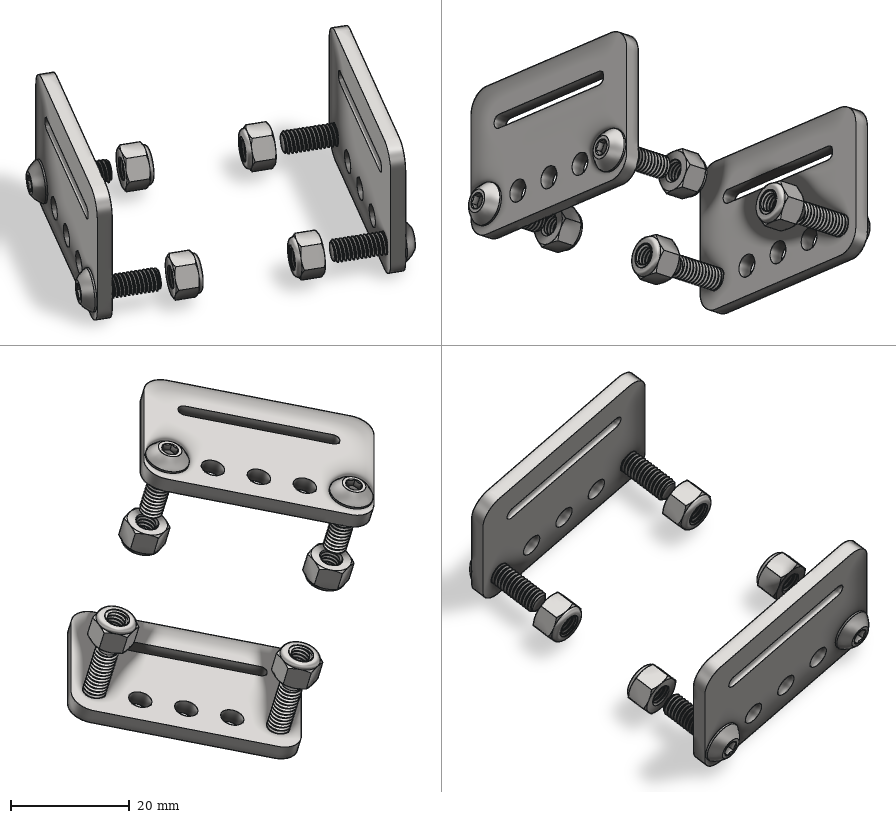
import cadquery as cq
import math

overall_depth = 58.3

plate_width = 40.0
plate_height = 26.95
plate_thickness = 2.6
corner_radius = 4.0
slot_length = 28.1
slot_width = 2.5
slot_z = 6.1
hole_pitch = 8.0
hole_count = 5
hole_row_z = -8.0

thread_diameter = 4.0
thread_pitch = 0.7
thread_depth = 0.4
crest_width = 0.1
ridge_base_width = 0.65
ridge_sink = 0.1

head_diameter = 7.6
head_height = 2.2
head_rim = 0.35
head_flat_diameter = 4.1
dome_bulge = 0.2
shank_length = 11.85
tip_chamfer = 0.4
tip_margin = 0.3
screw_thread_start = 0.0
socket_across_flats = 2.5
socket_depth = 1.35
socket_mouth_diameter = 2.9
socket_mouth_depth = 0.2

nut_across_flats = 7.0
nut_height = 4.95
hex_height = 4.15
nut_chamfer_angle = 30.0
collar_bore_diameter = 4.3
collar_bore_depth = 0.2
countersink_depth = 0.4
nut_gap = 2.05

collar_round = nut_height - hex_height
plate_outer_y = overall_depth / 2 - head_height
plate_center_y = plate_outer_y - plate_thickness / 2
nut_face_y = plate_outer_y - shank_length - nut_gap
screw_x = hole_pitch * (hole_count - 1) / 2
thread_radius = thread_diameter / 2
root_radius = thread_radius - thread_depth
nut_corner_diameter = nut_across_flats / math.cos(math.radians(30))

front, back = -1, 1
screw_places = [
    (front, -screw_x, -18.0),
    (front, screw_x, 37.0),
    (back, -screw_x, 0.0),
    (back, screw_x, 0.0),
]


def make_plate():
    """Rounded plate centred on the origin, with one slot and a row of holes."""
    plate = cq.Workplane("XZ").rect(plate_width, plate_height)
    plate = plate.extrude(plate_thickness / 2, both=True)
    plate = plate.edges("|Y").fillet(corner_radius)
    slot = cq.Workplane("XZ").center(0, slot_z).slot2D(slot_length, slot_width)
    plate = plate.cut(slot.extrude(plate_thickness, both=True))
    holes = cq.Workplane("XZ").center(0, hole_row_z)
    holes = holes.rarray(hole_pitch, 0.6, hole_count, 1).circle(thread_radius)
    return plate.cut(holes.extrude(plate_thickness, both=True))


def make_threaded_rod(length):
    """Core rod and right-handed thread ridge, both reaching past Z = 0 and Z = length."""
    core = cq.Workplane("XY", origin=(0, 0, -2 * thread_pitch)).circle(root_radius)
    core = core.extrude(length + 4 * thread_pitch)
    helix = cq.Wire.makeHelix(thread_pitch, length + 2 * thread_pitch, thread_radius)
    base_radius = root_radius - ridge_sink
    section = (
        cq.Workplane("XZ")
        .moveTo(base_radius, -ridge_base_width / 2)
        .lineTo(thread_radius, -crest_width / 2)
        .lineTo(thread_radius, crest_width / 2)
        .lineTo(base_radius, ridge_base_width / 2)
        .close()
    )
    ridge = section.sweep(cq.Workplane(helix), isFrenet=True).translate((0, 0, -thread_pitch))
    return core.union(ridge)


def make_socket():
    """Hexagonal key socket with a conical mouth, sunk into the head top."""
    corner_diameter = socket_across_flats / math.cos(math.radians(30))
    hexagon = cq.Workplane("XY", origin=(0, 0, -head_height)).polygon(6, corner_diameter)
    mouth_radius = socket_mouth_diameter / 2
    cone = cq.Solid.makeCone(
        mouth_radius, socket_across_flats / 2, socket_mouth_depth, pnt=(0, 0, -head_height)
    )
    return hexagon.extrude(socket_depth).union(cq.Workplane(cone))


def make_screw():
    """Button-head screw along Z: head below Z = 0, threaded shank above it."""
    head_radius = head_diameter / 2
    head = (
        cq.Workplane("XZ")
        .moveTo(0, -head_height)
        .lineTo(head_flat_diameter / 2, -head_height)
        .sagittaArc((head_radius, -head_rim), -dome_bulge)
        .lineTo(head_radius, 0)
        .lineTo(0, 0)
        .close()
        .revolve(360, (0, 0, 0), (0, 1, 0))
    )
    tip_envelope = cq.Workplane("XY").circle(thread_radius + tip_margin).extrude(shank_length)
    tip_envelope = tip_envelope.faces(">Z").chamfer(tip_chamfer + tip_margin)
    shank = make_threaded_rod(shank_length).rotate((0, 0, 0), (0, 0, 1), screw_thread_start)
    return head.cut(make_socket()).union(shank.intersect(tip_envelope))


def make_nut():
    """Lock nut along Z: bearing face at Z = 0, round collar at the far end."""
    flat_radius = nut_across_flats / 2
    corner_radius_of_nut = nut_corner_diameter / 2
    chamfer_height = (corner_radius_of_nut - flat_radius) * math.tan(math.radians(nut_chamfer_angle))
    hexagon = cq.Workplane("XY").polygon(6, nut_corner_diameter).extrude(nut_height)
    envelope = (
        cq.Workplane("XZ")
        .moveTo(0, 0)
        .lineTo(flat_radius, 0)
        .lineTo(corner_radius_of_nut, chamfer_height)
        .lineTo(corner_radius_of_nut, hex_height - chamfer_height)
        .lineTo(flat_radius, hex_height)
        .radiusArc((flat_radius - collar_round, nut_height), -collar_round)
        .lineTo(0, nut_height)
        .close()
        .revolve(360, (0, 0, 0), (0, 1, 0))
    )
    thread = make_threaded_rod(nut_height)
    recess = cq.Workplane("XY", origin=(0, 0, nut_height - collar_bore_depth))
    recess = recess.circle(collar_bore_diameter / 2).extrude(collar_bore_depth)
    mouth_radius = root_radius + countersink_depth
    countersink = cq.Workplane(cq.Solid.makeCone(mouth_radius, root_radius, countersink_depth))
    return hexagon.intersect(envelope).cut(thread).cut(recess).cut(countersink)


def place(body, side, x, start_y, turn):
    """Turn a body about Z, point its +Z axis towards the middle, and move it to its axis."""
    body = body.rotate((0, 0, 0), (0, 0, 1), turn)
    body = body.rotate((0, 0, 0), (1, 0, 0), 90 * side)
    return body.translate((x, side * start_y, hole_row_z))


plate_blank = make_plate()
screw_blank = make_screw()
nut_blank = make_nut()

plates = [plate_blank.translate((0, side * plate_center_y, 0)).solids().val() for side in (front, back)]
screws = [
    place(screw_blank, side, x, plate_outer_y, turn).solids().val() for side, x, turn in screw_places
]
nuts = [place(nut_blank, side, x, nut_face_y, 0).solids().val() for side, x, _ in screw_places]

result = cq.Compound.makeCompound([*plates, *screws, *nuts])